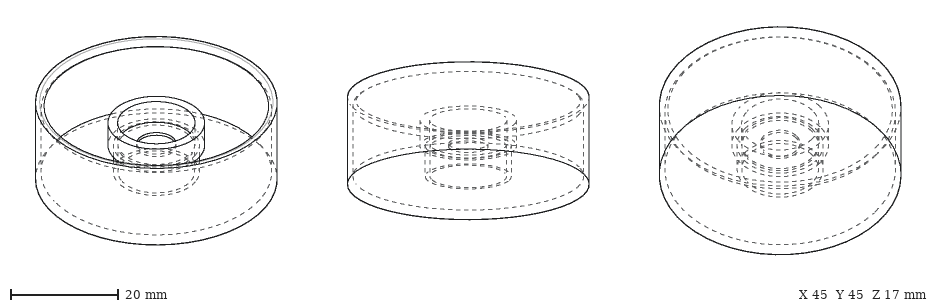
import cadquery as cq
import math

housing_diameter = 45.0
housing_height = 17.0
wall_inner_diameter = 42.95
floor_thickness = 1.58
bead_inner_diameter = 41.8
bead_radius = 0.8

tube_outer_diameter = 16.0
tube_inner_diameter = 14.25
cup_outer_diameter = 18.0
cup_inner_diameter = 14.4
cup_hole_diameter = 7.35
cup_web_thickness = 0.6
cup_web_top = 7.9
cup_top = 12.5
cup_bottom = 7.5
tube_bore_top = cup_web_top - cup_web_thickness


def cylinder(diameter, bottom, top):
    """Upright cylinder on the Z axis between two heights."""
    return cq.Workplane("XY").workplane(offset=bottom).circle(diameter / 2).extrude(top - bottom)


def make_housing():
    """Cup profile revolved about Z, with the bead as one arc."""
    outer_radius = housing_diameter / 2
    wall_radius = wall_inner_diameter / 2
    bead_inner_radius = bead_inner_diameter / 2
    bead_center_radius = bead_inner_radius + bead_radius
    bead_center_height = housing_height - bead_radius
    bead_drop = math.sqrt(bead_radius**2 - (bead_center_radius - wall_radius) ** 2)
    return (
        cq.Workplane("XZ")
        .moveTo(0, 0)
        .lineTo(outer_radius, 0)
        .lineTo(outer_radius, housing_height)
        .lineTo(bead_center_radius, housing_height)
        .threePointArc(
            (bead_inner_radius, bead_center_height),
            (wall_radius, bead_center_height - bead_drop),
        )
        .lineTo(wall_radius, floor_thickness)
        .lineTo(0, floor_thickness)
        .close()
        .revolve(360, (0, 0, 0), (0, 1, 0))
    )


def make_hub():
    """Tube and cup in one piece, joined by a web with a central hole."""
    tube = cylinder(tube_outer_diameter, floor_thickness, cup_bottom)
    cup = cylinder(cup_outer_diameter, cup_bottom, cup_top)
    tube_bore = cylinder(tube_inner_diameter, floor_thickness, tube_bore_top)
    cup_recess = cylinder(cup_inner_diameter, cup_web_top, cup_top)
    web_hole = cylinder(cup_hole_diameter, tube_bore_top, cup_web_top)
    return tube.union(cup).cut(tube_bore).cut(cup_recess).cut(web_hole)


housing = make_housing()
hub = make_hub()

result = cq.Compound.makeCompound([housing.val(), hub.val()])